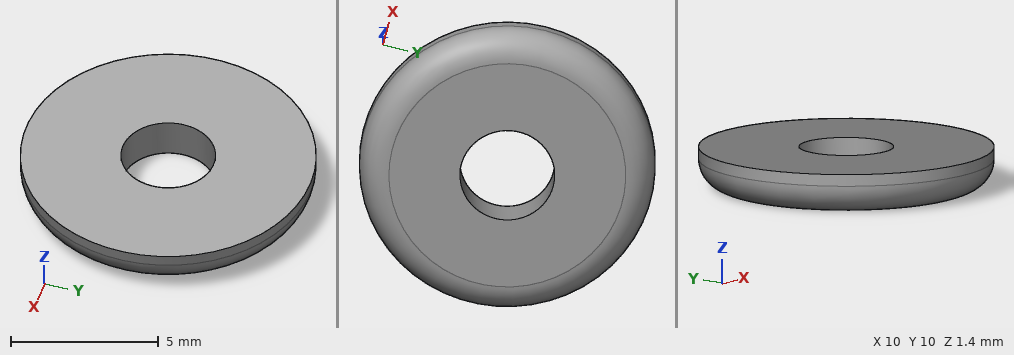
import cadquery as cq

outer_diameter = 10.0
thickness = 1.4
hole_diameter = 3.2
bottom_edge_radius = 1.0

disc = cq.Workplane("XY").circle(outer_diameter / 2).extrude(thickness)

rounded_disc = disc.faces("<Z").edges().fillet(bottom_edge_radius)

result = rounded_disc.faces(">Z").workplane(origin=(0, 0, thickness)).hole(hole_diameter)